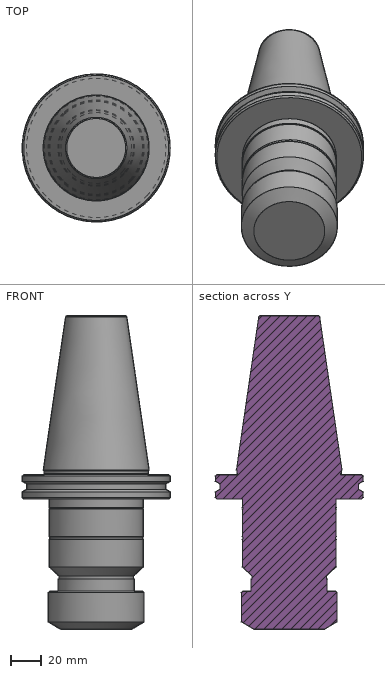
import cadquery as cq
import math

total_height = 206.8

taper_length = 101.7
gauge_radius = 35.0
taper_ratio = 7 / 24
tip_chamfer = 0.8
gauge_z = total_height - taper_length
tip_radius = gauge_radius - taper_length * taper_ratio / 2

collar_radius = 34.5
collar_top_z = 104.5
relief_radius = 34.1
relief_top_z = 102.8

flange_radius = 48.8
flange_bottom_z = 85.8
flange_top_z = 102.0
flange_chamfer = 1.0
groove_floor_radius = 46.0
groove_center_z = 94.0
groove_floor_width = 3.5
groove_side_angle = 30
groove_floor_half = groove_floor_width / 2
groove_mouth_half = groove_floor_half + (
    (flange_radius - groove_floor_radius) * math.tan(math.radians(groove_side_angle))
)

body_radius = 31.0
body_bottom_z = 41.1
ring_groove_depth = 0.5
upper_ring_z = 79.8
upper_ring_width = 1.2
lower_ring_z = 60.2
lower_ring_width = 2.0

neck_radius = 25.2
neck_step_z = 33.0
neck_upper_radius = 24.5
neck_top_z = 35.1

nut_radius = 31.6
nut_top_z = 25.2
nut_top_chamfer = 1.0
nut_face_radius = 23.4
nut_cone_height = 5.0


def make_revolved(profile):
    """Revolve a closed (radius, height) outline about the Z axis."""
    return cq.Workplane("XZ").polyline(profile).close().revolve(360, (0, 0, 0), (0, 1, 0))


def make_nut():
    return make_revolved([
        (0, 0),
        (nut_face_radius, 0),
        (nut_radius, nut_cone_height),
        (nut_radius, nut_top_z - nut_top_chamfer),
        (nut_radius - nut_top_chamfer, nut_top_z),
        (0, nut_top_z),
    ])


def make_neck_and_body():
    return make_revolved([
        (0, nut_top_z),
        (neck_radius, nut_top_z),
        (neck_radius, neck_step_z),
        (neck_upper_radius, neck_step_z),
        (neck_upper_radius, neck_top_z),
        (body_radius, body_bottom_z),
        (body_radius, flange_bottom_z),
        (0, flange_bottom_z),
    ])


def make_ring_groove(center_z, width):
    """Ring-shaped cutter with a V section that marks the body surface."""
    return make_revolved([
        (body_radius, center_z - width / 2),
        (body_radius, center_z + width / 2),
        (body_radius - ring_groove_depth, center_z),
    ])


def make_flange():
    return make_revolved([
        (0, flange_bottom_z),
        (flange_radius - flange_chamfer, flange_bottom_z),
        (flange_radius, flange_bottom_z + flange_chamfer),
        (flange_radius, groove_center_z - groove_mouth_half),
        (groove_floor_radius, groove_center_z - groove_floor_half),
        (groove_floor_radius, groove_center_z + groove_floor_half),
        (flange_radius, groove_center_z + groove_mouth_half),
        (flange_radius, flange_top_z - flange_chamfer),
        (flange_radius - flange_chamfer, flange_top_z),
        (0, flange_top_z),
    ])


def make_shank():
    tip_edge_radius = tip_radius + tip_chamfer * taper_ratio / 2
    return make_revolved([
        (0, flange_top_z),
        (relief_radius, flange_top_z),
        (relief_radius, relief_top_z),
        (collar_radius, relief_top_z),
        (collar_radius, collar_top_z),
        (gauge_radius, gauge_z),
        (tip_edge_radius, total_height - tip_chamfer),
        (tip_edge_radius - tip_chamfer, total_height),
        (0, total_height),
    ])


body = make_neck_and_body()
for ring_z, ring_width in [(upper_ring_z, upper_ring_width), (lower_ring_z, lower_ring_width)]:
    body = body.cut(make_ring_groove(ring_z, ring_width))

result = make_nut().union(body).union(make_flange()).union(make_shank())